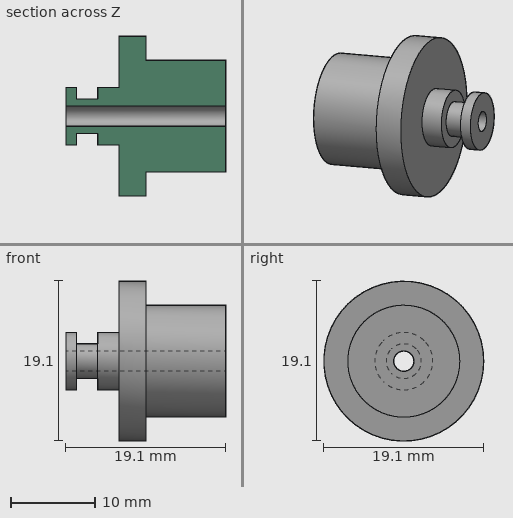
import cadquery as cq

total_length = 19.05
collar_length = 1.3
neck_length = 2.5
shoulder_length = 2.53
flange_length = 3.22
barrel_length = total_length - collar_length - neck_length - shoulder_length - flange_length

flange_diameter = 19.05
barrel_diameter = 13.34
collar_diameter = 6.88
shoulder_diameter = collar_diameter
neck_diameter = 4.15
bore_diameter = 2.38

sections = [
    (collar_length, collar_diameter),
    (neck_length, neck_diameter),
    (shoulder_length, shoulder_diameter),
    (flange_length, flange_diameter),
    (barrel_length, barrel_diameter),
]


def stepped_body():
    """Stack the cylindrical sections end to end along X."""
    body = None
    start = 0.0
    for length, diameter in sections:
        section = cq.Workplane("YZ", origin=(start, 0, 0)).circle(diameter / 2).extrude(length)
        body = section if body is None else body.union(section)
        start += length
    return body


bore = cq.Workplane("YZ").circle(bore_diameter / 2).extrude(total_length)

result = stepped_body().cut(bore)